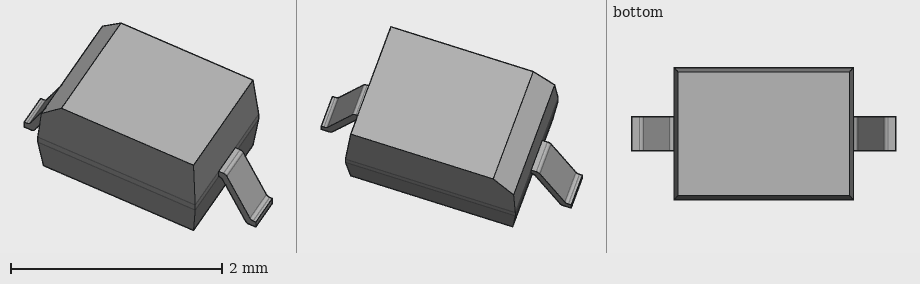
import cadquery as cq
import math

overall_length = 2.5
overall_height = 1.15

body_length = 1.7
body_width = 1.25
body_bottom = 0.15
face_inset = 0.04
chamfer_run = 0.235
chamfer_drop = 0.192

lead_thickness = 0.078
lead_width = 0.325
lead_top = 0.61
foot_length = 0.1
slope_run_per_drop = 0.51
bend_radius = 0.04

band_bottom = lead_top - lead_thickness


def make_tapered_block(base_z, tip_z):
    """Block that narrows from the band outline to the inset end face."""
    return (
        cq.Workplane("XY", origin=(0, 0, base_z))
        .rect(body_length, body_width)
        .workplane(offset=tip_z - base_z)
        .rect(body_length - 2 * face_inset, body_width - 2 * face_inset)
        .loft(ruled=True)
    )


def make_chamfer_cutter():
    """Wedge that removes the upper edge at the -X end."""
    end_x = -body_length / 2
    lower_z = overall_height - chamfer_drop
    lower_x = end_x + face_inset * (lower_z - lead_top) / (overall_height - lead_top)
    upper_x = end_x + chamfer_run
    plane_slope = chamfer_drop / (upper_x - lower_x)
    outer_z = lower_z - plane_slope * (lower_x - end_x)
    return (
        cq.Workplane("XZ")
        .polyline([(end_x, outer_z), (upper_x, overall_height), (end_x, overall_height)])
        .close()
        .extrude(body_width / 2, both=True)
    )


def make_housing():
    band = (
        cq.Workplane("XY", origin=(0, 0, band_bottom))
        .rect(body_length, body_width)
        .extrude(lead_thickness)
    )
    upper = make_tapered_block(lead_top, overall_height).cut(make_chamfer_cutter())
    lower = make_tapered_block(band_bottom, body_bottom)
    return band.union(upper).union(lower)


def make_lead():
    """Gull-wing lead at the -X end, from its foot up to the housing band."""
    tip_x = -overall_length / 2
    root_x = -body_length / 2
    slope_angle = math.atan2(1, slope_run_per_drop)
    corner_shift = lead_thickness * math.tan(slope_angle / 2)
    lower_corner_x = tip_x + foot_length
    upper_corner_x = lower_corner_x + band_bottom * slope_run_per_drop
    outline = [
        (tip_x, 0),
        (lower_corner_x, 0),
        (upper_corner_x, band_bottom),
        (root_x, band_bottom),
        (root_x, lead_top),
        (upper_corner_x - corner_shift, lead_top),
        (lower_corner_x - corner_shift, lead_thickness),
        (tip_x, lead_thickness),
    ]
    blank = cq.Workplane("XZ").polyline(outline).close().extrude(lead_width / 2, both=True)
    bend_edges = blank.edges("|Y and (not <X) and (not >X)")
    return bend_edges.fillet(bend_radius)


housing = make_housing()
left_lead = make_lead()
leads = [left_lead.rotate((0, 0, 0), (0, 0, 1), turn) for turn in (0, 180)]

result = cq.Compound.makeCompound([housing.val(), *[lead.val() for lead in leads]])